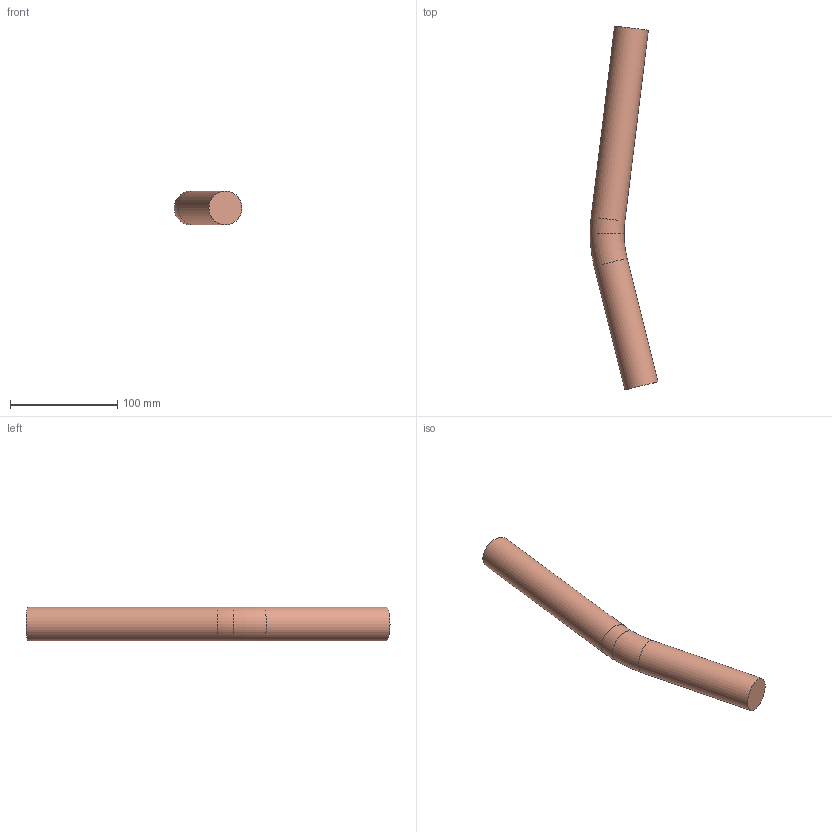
import cadquery as cq
import math

bar_diameter = 31.75
bend_radius = 3.5 * bar_diameter
rear_bend_angle = 7.0
front_bend_angle = 14.0
rear_leg_length = 179.85
front_leg_length = 118.90


def bend_point(angle):
    """Point on the bend centreline; positive angles lie toward +Y."""
    turn = math.radians(angle)
    x = bend_radius * (1 - math.cos(turn))
    y = bend_radius * math.sin(turn)
    return x, y


def leg_end(angle, length):
    """Free end of the straight leg that leaves the bend tangentially."""
    turn = math.radians(abs(angle))
    side = math.copysign(1, angle)
    x, y = bend_point(angle)
    return x + length * math.sin(turn), y + side * length * math.cos(turn)


front_end = leg_end(-front_bend_angle, front_leg_length)
rear_end = leg_end(rear_bend_angle, rear_leg_length)

centreline = (
    cq.Workplane("XY")
    .moveTo(*front_end)
    .lineTo(*bend_point(-front_bend_angle))
    .threePointArc(bend_point(-front_bend_angle / 2), bend_point(0))
    .threePointArc(bend_point(rear_bend_angle / 2), bend_point(rear_bend_angle))
    .lineTo(*rear_end)
)

front_turn = math.radians(front_bend_angle)
front_face = cq.Plane(
    origin=(*front_end, 0),
    xDir=(-math.cos(front_turn), -math.sin(front_turn), 0),
    normal=(-math.sin(front_turn), math.cos(front_turn), 0),
)

result = cq.Workplane(front_face).circle(bar_diameter / 2).sweep(centreline)